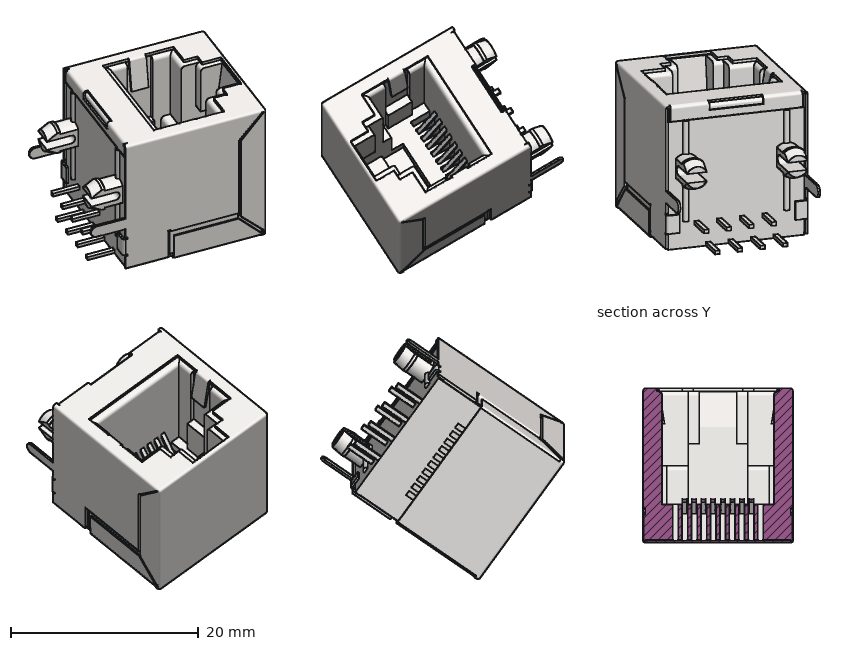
import cadquery as cq


width = 16.0
depth = 16.5
overall_depth = 20.55
height = 16.5
half_width = width / 2
bend_radius = 0.33
sheet = 0.25
seam = 0.08
seam_depth = 0.82
wall = sheet + seam
floor_front_y = 5.73
side_bottom_z = 0.51

board_face_y = 0.2
housing_half = half_width - wall
housing_bottom = wall
housing_top = height - wall
housing_back = depth - wall
housing_round = 0.43
nose_round = 0.35

lip_half = 7.44
lip_y = 0.08
lip_bottom_z = 14.75
lip_radius = 0.4
window_half = 3.05
window_back_y = 0.62
window_bottom_z = 15.58

opening_front_y = 3.99
opening_steps = [(6.5, 12.25), (3.82, 13.83), (2.63, 16.03)]

cavity_half = 5.94
cavity_front_y = 4.79
cavity_back_y = 11.61
cavity_floor_z = 4.1
lip_round = 0.5
ledge_y = 10.52
ledge_top_z = 8.22

latch_half = 3.19
latch_step_y = 13.35
channel_half = 2.01
channel_back_y = 15.41
channel_mouth_y = 15.86
channel_mouth_round = 0.25
channel_taper_z = 12.33
latch_room_top_z = 10.58
recess_y = (9.12, 11.8)
recess_floor_z = 2.88

spring_y = (6.99, 8.95)
spring_notch_y = (6.6, 9.58)
spring_notch_half = 6.43
spring_stop_half = 5.47
spring_root_x = 6.58
spring_bend_x = 6.25
spring_tip_x = 5.7
spring_tip_z = 12.68

slot_count = 10
slot_pitch = 1.0
slot_width = 0.58
slot_back_y = 7.15
contact_width = 0.5
contact_top_z = 6.58
contact_end_z = 3.5
contact_thickness = 0.41

pin_count = 8
pin_pitch = 1.27
pin_width = 0.51
pin_thickness = 0.41
pin_tip_y = -2.92
pin_rows_z = (3.06, 0.55)

peg_x = 5.7
peg_z = 9.41
peg_radius = 1.56
peg_barb_radius = 1.7
peg_tip_radius = 1.21
peg_half_width = 1.1
peg_barb_y = -1.87
peg_taper_y = -2.25
peg_tip_y = -3.45
peg_slot_half = 0.51
peg_slot_root_y = -0.15
rib_radius = 0.33
rib_z = (3.4, lip_bottom_z - seam)

tail_tip_y = depth - overall_depth
tail_z = 6.37
tail_width = 1.35
hook_z = (2.28, 4.34)
hook_y = -0.3
hook_inner_x = 6.53
hook_relief = 0.15
hook_relief_y = 0.25

flap_tip_y = 13.55
flap_root_y = depth - bend_radius
flap_top_z = 13.25
flap_bottom_z = 3.27
panel_back_y = 13.28
floor_flap_z = 3.05
floor_flap_inset = 0.08
pocket_top_z = 3.97
pocket_flat_z = 3.51
pocket_front_y = 5.0
pocket_sheet_y = 5.26
pocket_sheet_z = 0.68
corner_gap = 0.2


def block(x, y, z):
    """Box from (low, high) pairs along each axis."""
    size = (x[1] - x[0], y[1] - y[0], z[1] - z[0])
    return cq.Workplane("XY").box(*size, centered=False).translate((x[0], y[0], z[0]))


def centred(half, y, z):
    return block((-half, half), y, z)


def both_sides(solid):
    """The solid together with its mirror image across X = 0."""
    return solid.union(solid.mirror("YZ"))


def side_plate(points, x_inner, x_outer):
    """Plate on the +X side with the given (Y, Z) outline."""
    plate = cq.Workplane("YZ").polyline(points).close().extrude(x_outer - x_inner)
    return plate.translate((x_inner, 0, 0))


def make_shield():
    shell = centred(half_width, (0, depth), (0, height))
    shell = shell.edges("|Y or >Y").fillet(bend_radius)
    shell = shell.cut(centred(housing_half, (0, housing_back), (housing_bottom, housing_top)))
    shell = shell.cut(centred(half_width, (0, floor_front_y), (0, side_bottom_z)))
    seam_outer = half_width - sheet
    seam_z = (side_bottom_z, height - sheet)
    shell = shell.cut(centred(seam_outer, (0, seam_depth), seam_z))
    floor_seam_y = (floor_front_y, slot_back_y)
    return shell.cut(centred(housing_half, floor_seam_y, (sheet, housing_bottom)))


def make_lip():
    lip = centred(lip_half, (lip_y, seam_depth), (lip_bottom_z, height))
    lip = lip.edges(">Z and <Y").fillet(lip_radius)
    inside_z = (lip_bottom_z, height - sheet)
    lip = lip.cut(centred(lip_half, (lip_y + sheet, seam_depth), inside_z))
    window_z = (window_bottom_z, height)
    return lip.cut(centred(window_half, (0, window_back_y), window_z))


def make_opening():
    z = (housing_top, height)
    cutter = both_sides(block((0, spring_root_x), spring_y, z))
    for half, far_y in opening_steps:
        cutter = cutter.union(centred(half, (opening_front_y, far_y), z))
    return cutter


def make_housing():
    housing = centred(housing_half, (board_face_y, housing_back), (housing_bottom, housing_top))
    step_z = (lip_bottom_z - seam, housing_top)
    housing = housing.cut(centred(housing_half, (board_face_y, lip_y + sheet), step_z))
    housing = housing.edges("|X and >Y").fillet(housing_round)
    housing = housing.edges("|X and >Z").edges("<Y").fillet(nose_round)

    cavity_z = (cavity_floor_z, housing_top)
    housing = housing.cut(centred(cavity_half, (cavity_front_y, cavity_back_y), cavity_z))
    rim = cq.selectors.BoxSelector(
        (-cavity_half - seam, cavity_front_y - seam, housing_top - seam),
        (cavity_half + seam, cavity_back_y + seam, housing_top + seam),
    )
    housing = housing.edges(rim).fillet(lip_round)

    ledge = centred(cavity_half, (ledge_y, cavity_back_y), (cavity_floor_z, ledge_top_z))
    housing = housing.union(ledge.edges(">Z and <Y").fillet(lip_round))
    return cut_latch(cut_spring_notches(housing))


def cut_spring_notches(housing):
    notch = block((spring_stop_half, spring_notch_half), spring_notch_y, (ledge_top_z, housing_top))
    stop = block((spring_stop_half, cavity_half), spring_notch_y, (cavity_floor_z, ledge_top_z))
    return housing.cut(both_sides(notch)).union(both_sides(stop))


def cut_latch(housing):
    mouth_profile = (
        cq.Workplane("YZ")
        .moveTo(recess_y[0], cavity_floor_z)
        .lineTo(latch_step_y, cavity_floor_z)
        .lineTo(latch_step_y, housing_top - lip_round)
        .radiusArc((latch_step_y + lip_round, housing_top), lip_round)
        .lineTo(recess_y[0], housing_top)
        .close()
    )
    housing = housing.cut(mouth_profile.extrude(latch_half, both=True))
    channel_profile = (
        cq.Workplane("YZ")
        .moveTo(recess_y[0], cavity_floor_z)
        .lineTo(channel_back_y, cavity_floor_z)
        .lineTo(channel_back_y, channel_taper_z)
        .lineTo(channel_mouth_y, housing_top - channel_mouth_round)
        .radiusArc((channel_mouth_y + channel_mouth_round, housing_top), channel_mouth_round)
        .lineTo(recess_y[0], housing_top)
        .close()
    )
    housing = housing.cut(channel_profile.extrude(channel_half, both=True))
    room_z = (cavity_floor_z, latch_room_top_z)
    housing = housing.cut(centred(latch_half, (recess_y[0], channel_back_y), room_z))
    return housing.cut(centred(latch_half, recess_y, (recess_floor_z, latch_room_top_z)))


def make_spring():
    bend_drop = spring_root_x - spring_bend_x
    profile = (
        cq.Workplane("XZ")
        .moveTo(spring_root_x, height)
        .radiusArc((spring_bend_x, height - bend_drop), -bend_drop)
        .lineTo(spring_tip_x, spring_tip_z)
        .lineTo(spring_tip_x + sheet, spring_tip_z)
        .lineTo(spring_root_x, height - bend_drop)
        .close()
    )
    return profile.extrude(spring_y[0] - spring_y[1]).translate((0, spring_y[0], 0))


def add_contacts(body):
    for index in range(slot_count):
        x = (index - (slot_count - 1) / 2) * slot_pitch
        slot_x = (x - slot_width / 2, x + slot_width / 2)
        body = body.cut(block(slot_x, (cavity_front_y, slot_back_y), (housing_bottom, cavity_floor_z)))
        if index in (0, slot_count - 1):
            continue
        contact = cq.Workplane("YZ").polyline([
            (cavity_front_y, contact_top_z),
            (slot_back_y, contact_end_z),
            (slot_back_y, contact_end_z - contact_thickness),
            (cavity_front_y, contact_top_z - contact_thickness),
        ]).close().extrude(contact_width)
        contact_x = slot_x[0] if x < 0 else slot_x[1] - contact_width
        body = body.union(contact.translate((contact_x, 0, 0)))
    return body


def make_pins():
    pins = cq.Workplane("XY")
    for index in range(pin_count):
        x = (index - (pin_count - 1) / 2) * pin_pitch
        z = pin_rows_z[index % 2]
        pin = block(
            (x - pin_width / 2, x + pin_width / 2),
            (pin_tip_y, cavity_front_y / 2),
            (z - pin_thickness / 2, z + pin_thickness / 2),
        )
        pins = pins.add(pin)
    return pins.combine()


def make_peg():
    peg = cq.Workplane("XY").polyline([
        (0, board_face_y),
        (peg_radius, board_face_y),
        (peg_radius, peg_barb_y),
        (peg_barb_radius, peg_barb_y),
        (peg_barb_radius, peg_taper_y),
        (peg_tip_radius, peg_tip_y),
        (0, peg_tip_y),
    ]).close().revolve(360, (0, 0, 0), (0, 1, 0))
    flats_z = (-peg_barb_radius, peg_barb_radius)
    peg = peg.intersect(centred(peg_half_width, (peg_tip_y, board_face_y), flats_z))
    slot_round_y = peg_slot_root_y - peg_slot_half
    slot = centred(peg_half_width, (peg_tip_y, slot_round_y), (-peg_slot_half, peg_slot_half))
    slot_root = cq.Workplane("YZ").center(slot_round_y, 0).circle(peg_slot_half)
    slot = slot.union(slot_root.extrude(peg_half_width, both=True))
    return peg.cut(slot).translate((peg_x, 0, peg_z))


def make_rib():
    rib = cq.Workplane("XY").center(peg_x, board_face_y).circle(rib_radius)
    return rib.extrude(rib_z[1] - rib_z[0]).translate((0, 0, rib_z[0]))


def make_tail():
    radius = tail_width / 2
    round_y = tail_tip_y + radius
    x = (half_width - sheet, half_width)
    tail = block(x, (round_y, seam_depth), (tail_z - radius, tail_z + radius))
    tip = cq.Workplane("YZ").center(round_y, tail_z).circle(radius).extrude(sheet)
    return tail.union(tip.translate((x[0], 0, 0)))


def add_hooks(body):
    for z in (hook_z[0] - hook_relief, hook_z[1]):
        relief = block((housing_half, half_width), (0, hook_relief_y), (z, z + hook_relief))
        body = body.cut(both_sides(relief))
    hook = block((hook_inner_x, half_width), (hook_y, hook_relief_y), hook_z)
    hook = hook.edges("|Z and >X and <Y").fillet(bend_radius)
    behind = block((hook_inner_x, half_width - sheet), (hook_y + sheet, hook_relief_y), hook_z)
    return body.union(both_sides(hook.cut(behind)))


def cut_side_gaps(body):
    """Gaps between the side panels and the flaps folded from the back and the floor."""
    gap = [
        (flap_root_y, height - bend_radius),
        (flap_tip_y, flap_top_z),
        (flap_tip_y, flap_bottom_z),
        (flap_root_y, side_bottom_z + corner_gap),
        (flap_root_y + seam, side_bottom_z),
        (flap_root_y - corner_gap, bend_radius),
        (panel_back_y, floor_flap_z),
        (panel_back_y, flap_top_z),
        (flap_root_y - corner_gap, height - bend_radius),
    ]
    return body.cut(both_sides(side_plate(gap, housing_half, half_width)))


def add_floor_flaps(body):
    """Joggled-in pocket of the side panels and the floor flap lying in it."""
    step = sheet / 2
    sheet_x = half_width - sheet
    middle_z = (pocket_top_z + pocket_flat_z) / 2
    jog_radius = ((pocket_top_z - middle_z) ** 2 + step**2) / (2 * step)
    pocket = (
        cq.Workplane("XZ")
        .moveTo(half_width, pocket_top_z)
        .radiusArc((half_width - step, middle_z), jog_radius)
        .radiusArc((sheet_x, pocket_flat_z), -jog_radius)
        .lineTo(sheet_x, 0)
        .lineTo(half_width, 0)
        .close()
        .extrude(pocket_sheet_y - panel_back_y)
        .translate((0, pocket_sheet_y, 0))
    )
    slot_y = (pocket_front_y, pocket_sheet_y)
    pocket = pocket.union(block((housing_half, half_width), slot_y, (0, pocket_top_z)))
    foot_y = (pocket_front_y, floor_front_y)
    pocket = pocket.union(block((housing_half, half_width), foot_y, (0, pocket_sheet_z)))
    body = body.cut(both_sides(pocket))

    flap_x = half_width - floor_flap_inset
    flap_corner_y = flap_root_y - corner_gap
    flap = block((flap_x - 2 * wall, flap_x), (floor_front_y, flap_corner_y), (0, floor_flap_z))
    flap = flap.edges("|Y and >X and <Z").fillet(bend_radius)
    outline = [
        (floor_front_y, 0),
        (flap_corner_y, 0),
        (flap_corner_y, bend_radius),
        (panel_back_y, floor_flap_z),
        (floor_front_y, floor_flap_z),
    ]
    body = body.cut(both_sides(side_plate(outline, housing_half, half_width)))
    return body.union(both_sides(flap.intersect(side_plate(outline, housing_half, flap_x))))


shield = make_shield()
shield = shield.cut(centred(lip_half, (0, seam_depth), (lip_bottom_z, height))).union(make_lip())
shield = shield.cut(make_opening())

body = shield.union(make_housing())
body = add_contacts(body)
body = cut_side_gaps(body)
body = add_floor_flaps(body)
body = add_hooks(body)
for feature in (make_spring(), make_peg(), make_rib(), make_tail()):
    body = body.union(both_sides(feature))
result = body.union(make_pins())